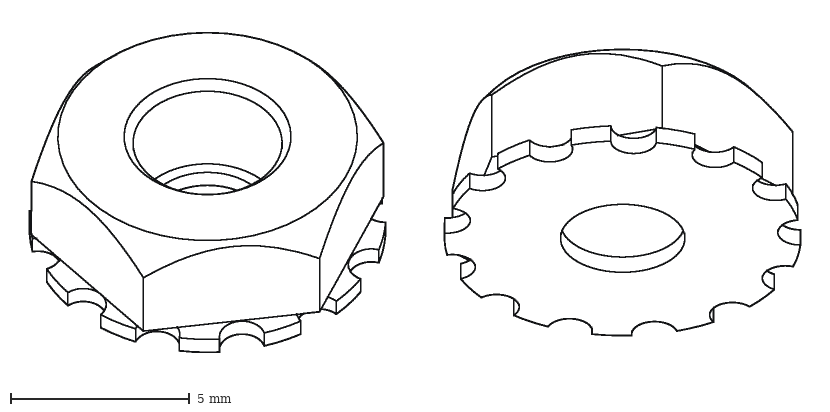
import cadquery as cq

CORNER_DIAMETER = 9.97
NUT_HEIGHT = 3.07
BORE_DIAMETER = 4.17
BORE_CHAMFER = 0.25
TOP_FACE_DIAMETER = 8.37
CORNER_DROP = 1.0

WASHER_DIAMETER = CORNER_DIAMETER
WASHER_THICKNESS = 0.51
WASHER_HOLE_DIAMETER = 3.48
NOTCH_COUNT = 13
NOTCH_RADIUS = 0.64

NUT_TOP = WASHER_THICKNESS + NUT_HEIGHT


def corner_cone():
    """Turned envelope that chamfers the six top corners of the nut."""
    corner_radius = CORNER_DIAMETER / 2
    return (
        cq.Workplane("XZ")
        .moveTo(0, WASHER_THICKNESS)
        .lineTo(corner_radius, WASHER_THICKNESS)
        .lineTo(corner_radius, NUT_TOP - CORNER_DROP)
        .lineTo(TOP_FACE_DIAMETER / 2, NUT_TOP)
        .lineTo(0, NUT_TOP)
        .close()
        .revolve(360, (0, 0, 0), (0, 1, 0))
    )


def make_nut():
    """Hexagonal nut with chamfered corners and a countersunk plain bore."""
    hexagon = (
        cq.Workplane("XY")
        .workplane(offset=WASHER_THICKNESS)
        .polygon(6, CORNER_DIAMETER)
        .extrude(NUT_HEIGHT)
    )
    body = hexagon.intersect(corner_cone())
    bored = body.faces(">Z").workplane(origin=(0, 0, NUT_TOP)).hole(BORE_DIAMETER)
    bore_rim = cq.selectors.RadiusNthSelector(0)
    return bored.faces(">Z").edges("%CIRCLE").edges(bore_rim).chamfer(BORE_CHAMFER)


def make_washer():
    """Flat ring whose rim is cut into teeth by round notches centred on the rim."""
    ring = (
        cq.Workplane("XY")
        .circle(WASHER_DIAMETER / 2)
        .circle(WASHER_HOLE_DIAMETER / 2)
        .extrude(WASHER_THICKNESS)
    )
    notches = (
        cq.Workplane("XY")
        .polarArray(WASHER_DIAMETER / 2, 0, 360, NOTCH_COUNT)
        .circle(NOTCH_RADIUS)
        .extrude(WASHER_THICKNESS)
    )
    return ring.cut(notches)


nut = make_nut()
washer = make_washer()
result = cq.Compound.makeCompound([nut.val(), washer.val()])